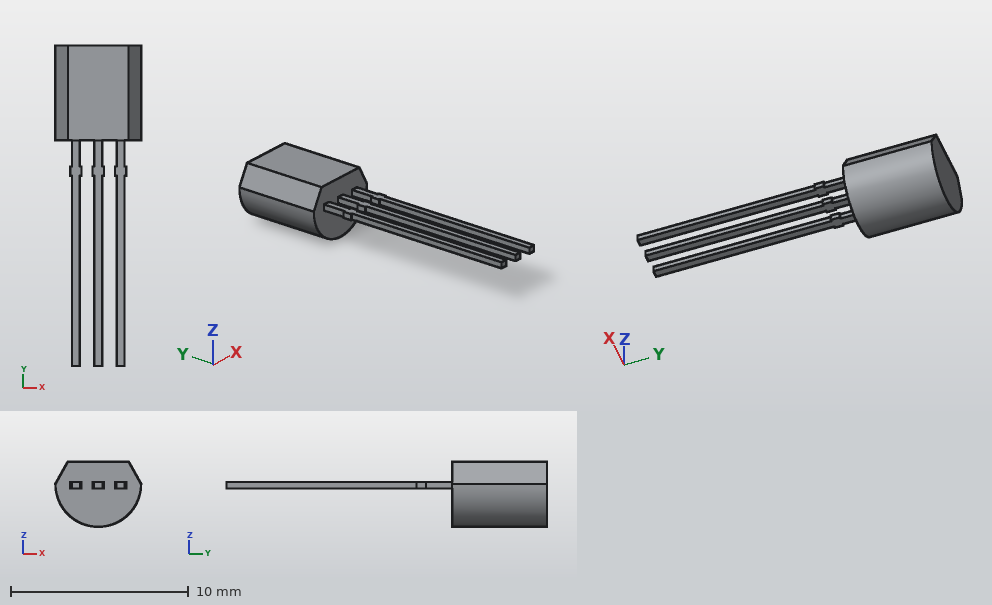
import cadquery as cq

housing_radius = 2.42
housing_height = 3.68
housing_length = 5.34
top_flat_width = 3.43

total_length = 18.04
lead_length = total_length - housing_length
lead_count = 3
lead_pitch = 1.26
lead_width = 0.45
lead_thickness = 0.38
lead_center_z = -0.07

collar_width = 0.65
collar_length = 0.55
collar_offset = 1.46


def make_housing():
    """Half-round lower side, sloping shoulders and a flat top."""
    top_z = housing_height - housing_radius
    half_flat = top_flat_width / 2
    return (
        cq.Workplane("XZ")
        .moveTo(-housing_radius, 0)
        .threePointArc((0, -housing_radius), (housing_radius, 0))
        .lineTo(half_flat, top_z)
        .lineTo(-half_flat, top_z)
        .close()
        .extrude(-housing_length)
    )


def make_strip(center_x, width, start, length):
    """Bar of lead thickness, from start to start + length in front of the housing."""
    return (
        cq.Workplane("XZ", origin=(center_x, -start, lead_center_z))
        .rect(width, lead_thickness)
        .extrude(length)
    )


def make_lead(center_x):
    """Straight lead with a wider collar near the housing."""
    shank = make_strip(center_x, lead_width, 0, lead_length)
    collar = make_strip(center_x, collar_width, collar_offset, collar_length)
    return shank.union(collar)


housing = make_housing()

leads = []
for index in range(lead_count):
    lead_x = (index - (lead_count - 1) / 2) * lead_pitch
    leads.append(make_lead(lead_x).val())

result = cq.Compound.makeCompound([housing.val(), *leads])